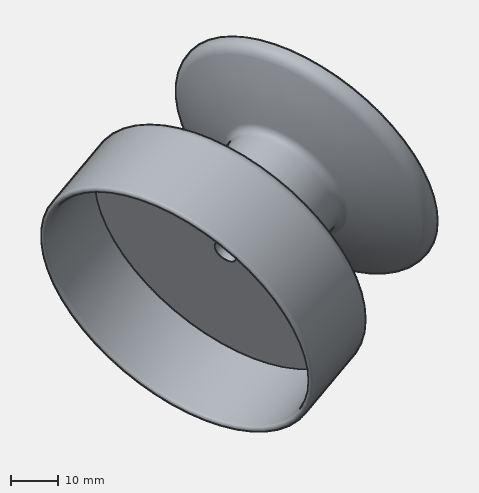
import cadquery as cq
import math

total_length = 50.8

cup_radius = 34.9
cup_length = 21.45
cup_wall = 1.55
cup_floor = 2.8
cup_back_fillet = 2.0

neck_radius = 14.25
neck_fillet = 2.0

disc_radius = 33.0
dome_radius = 75.0
dome_apex = 40.0
disc_front_fillet = 3.0
disc_back_fillet = 0.8

hole_diameter = 5.5

outer_corner_middle = 45
inner_corner_middle = 225


def on_arc(center, radius, degrees):
    """Point (distance from axis, Y) on a circle of the profile."""
    angle = math.radians(degrees)
    return (center[0] + radius * math.cos(angle), center[1] + radius * math.sin(angle))


def dome_angle(distance_to_axis, distance_to_center):
    """Direction, in degrees, from the dome centre to a point below it."""
    return -math.degrees(math.acos(distance_to_axis / distance_to_center))


rim_radius = cup_wall / 2
inner_radius = cup_radius - cup_wall
floor_y = cup_length - cup_floor
back_fillet_center = (cup_radius - cup_back_fillet, cup_length - cup_back_fillet)

neck_blend_x = neck_radius + neck_fillet
cup_blend_center = (neck_blend_x, cup_length + neck_fillet)

dome_center = (0, dome_apex + dome_radius)
neck_blend_angle = dome_angle(neck_blend_x, dome_radius + neck_fillet)
neck_blend_center = on_arc(dome_center, dome_radius + neck_fillet, neck_blend_angle)

edge_x = disc_radius - disc_front_fillet
edge_angle = dome_angle(edge_x, dome_radius - disc_front_fillet)
edge_center = on_arc(dome_center, dome_radius - disc_front_fillet, edge_angle)
disc_back_center = (disc_radius - disc_back_fillet, total_length - disc_back_fillet)

profile = (
    cq.Workplane("XY")
    .moveTo(0, floor_y)
    .lineTo(inner_radius, floor_y)
    .lineTo(inner_radius, rim_radius)
    .threePointArc((inner_radius + rim_radius, 0), (cup_radius, rim_radius))
    .lineTo(cup_radius, back_fillet_center[1])
    .threePointArc(
        on_arc(back_fillet_center, cup_back_fillet, outer_corner_middle),
        (back_fillet_center[0], cup_length),
    )
    .lineTo(cup_blend_center[0], cup_length)
    .threePointArc(
        on_arc(cup_blend_center, neck_fillet, inner_corner_middle),
        (neck_radius, cup_blend_center[1]),
    )
    .lineTo(neck_radius, neck_blend_center[1])
    .threePointArc(
        on_arc(neck_blend_center, neck_fillet, (360 + neck_blend_angle) / 2),
        on_arc(dome_center, dome_radius, neck_blend_angle),
    )
    .threePointArc(
        on_arc(dome_center, dome_radius, (neck_blend_angle + edge_angle) / 2),
        on_arc(dome_center, dome_radius, edge_angle),
    )
    .threePointArc(
        on_arc(edge_center, disc_front_fillet, edge_angle / 2),
        (disc_radius, edge_center[1]),
    )
    .lineTo(disc_radius, disc_back_center[1])
    .threePointArc(
        on_arc(disc_back_center, disc_back_fillet, outer_corner_middle),
        (disc_back_center[0], total_length),
    )
    .lineTo(0, total_length)
    .close()
)
knob = profile.revolve(360, (0, 0, 0), (0, 1, 0))

hole = cq.Workplane("XZ").circle(hole_diameter / 2).extrude(-total_length)

result = knob.cut(hole)